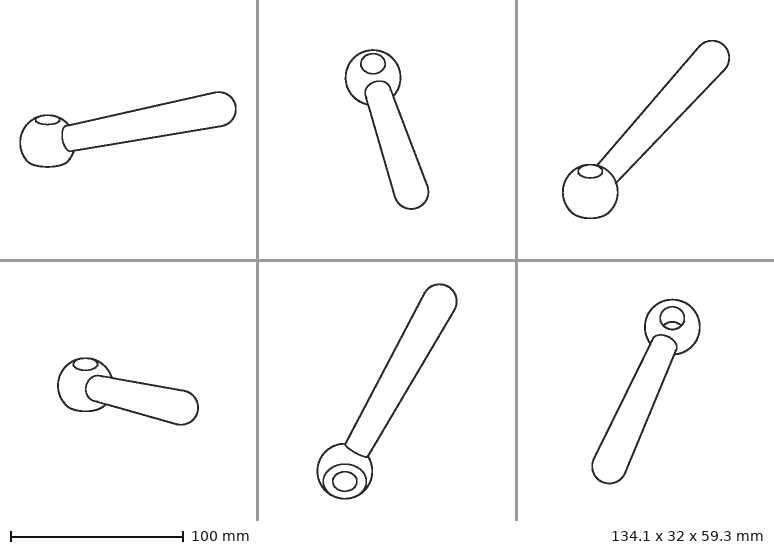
import math

import cadquery as cq

ball_diameter = 32.0
bore_diameter = 14.0
base_depth = 10.0

handle_angle = 20.0
handle_reach = 125.0
neck_diameter = 15.0
tip_diameter = 20.0

ball_radius = ball_diameter / 2
bore_radius = bore_diameter / 2
neck_radius = neck_diameter / 2
tip_radius = tip_diameter / 2


def make_handle():
    """Cone with a hemispherical tip, revolved about X and then tilted upward."""
    neck_distance = math.sqrt(ball_radius**2 - neck_radius**2)
    tip_center_distance = handle_reach - tip_radius
    tip_arc_mid = (
        tip_center_distance + tip_radius * math.cos(math.pi / 4),
        tip_radius * math.sin(math.pi / 4),
    )
    profile = (
        cq.Workplane("XZ")
        .lineTo(0, neck_radius)
        .lineTo(neck_distance, neck_radius)
        .lineTo(tip_center_distance, tip_radius)
        .threePointArc(tip_arc_mid, (handle_reach, 0))
        .close()
    )
    handle = profile.revolve(360, (0, 0, 0), (1, 0, 0))
    return handle.rotate((0, 0, 0), (0, 1, 0), -handle_angle)


def make_base_trim():
    """Block filling the space below the flat base of the ball."""
    return (
        cq.Workplane("XY")
        .workplane(offset=-base_depth)
        .rect(ball_diameter, ball_diameter)
        .extrude(base_depth - ball_radius)
    )


def make_bore():
    """Vertical through bore; its upper rim on the ball is the top of the hub."""
    return (
        cq.Workplane("XY")
        .workplane(offset=-ball_radius)
        .circle(bore_radius)
        .extrude(ball_diameter)
    )


ball = cq.Workplane("XY").sphere(ball_radius)
result = ball.union(make_handle()).cut(make_base_trim()).cut(make_bore())